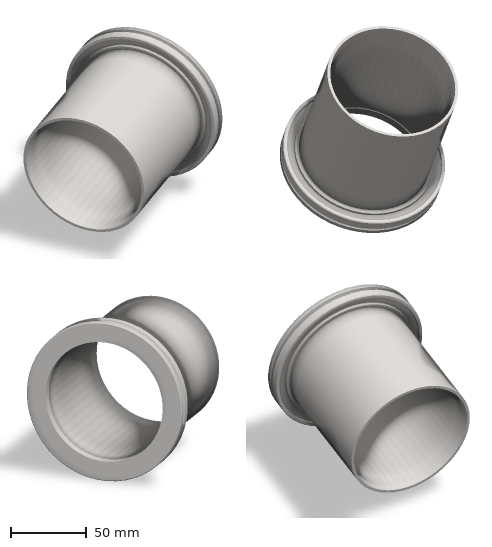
import cadquery as cq

flange_radius = 54.9
flange_thickness = 12.0
bore_radius = 41.4
edge_chamfer = 0.5

rim_groove_radius = 1.4
rim_groove_depth_from_face = 5.0

recess_outer_radius = 52.5
hub_radius = 47.1
recess_depth = 2.0
recess_bevel = 0.3

overall_length = 98.0
tube_outer_radius = 44.4
tube_inner_radius = 42.4
socket_depth = 6.0

socket_floor_y = socket_depth - flange_thickness
tube_length = overall_length - flange_thickness + socket_depth


def ring(outer_radius, inner_radius, start_y, length):
    """Plain ring around the Y axis, running toward -Y from start_y."""
    return (
        cq.Workplane("XZ", origin=(0, start_y, 0))
        .circle(outer_radius)
        .circle(inner_radius)
        .extrude(length)
    )


def rim_groove_cutter():
    """Torus whose tube is centred on the flange rim."""
    return (
        cq.Workplane("XY")
        .center(flange_radius, -rim_groove_depth_from_face)
        .circle(rim_groove_radius)
        .revolve(360, (-flange_radius, 0), (-flange_radius, 1))
    )


def recess_cutter():
    """Recess bevelled at the foot of its outer wall and at the top edge of the hub."""
    face_y = -flange_thickness
    floor_y = face_y + recess_depth
    return (
        cq.Workplane("XY")
        .moveTo(hub_radius - recess_bevel, face_y)
        .lineTo(hub_radius, face_y + recess_bevel)
        .lineTo(hub_radius, floor_y)
        .lineTo(recess_outer_radius - recess_bevel, floor_y)
        .lineTo(recess_outer_radius, floor_y - recess_bevel)
        .lineTo(recess_outer_radius, face_y)
        .close()
        .revolve(360, (0, 0), (0, 1))
    )


def make_flange():
    disc = cq.Workplane("XZ").circle(flange_radius).extrude(flange_thickness).edges().chamfer(edge_chamfer)
    bore = cq.Workplane("XZ").circle(bore_radius).extrude(flange_thickness)
    socket = (
        cq.Workplane("XZ", origin=(0, socket_floor_y, 0))
        .circle(tube_outer_radius)
        .extrude(socket_depth)
    )
    return disc.cut(recess_cutter()).cut(bore).cut(socket).cut(rim_groove_cutter())


def make_tube():
    return ring(tube_outer_radius, tube_inner_radius, socket_floor_y, tube_length)


flange = make_flange()
tube = make_tube()

result = cq.Compound.makeCompound([flange.val(), tube.val()])